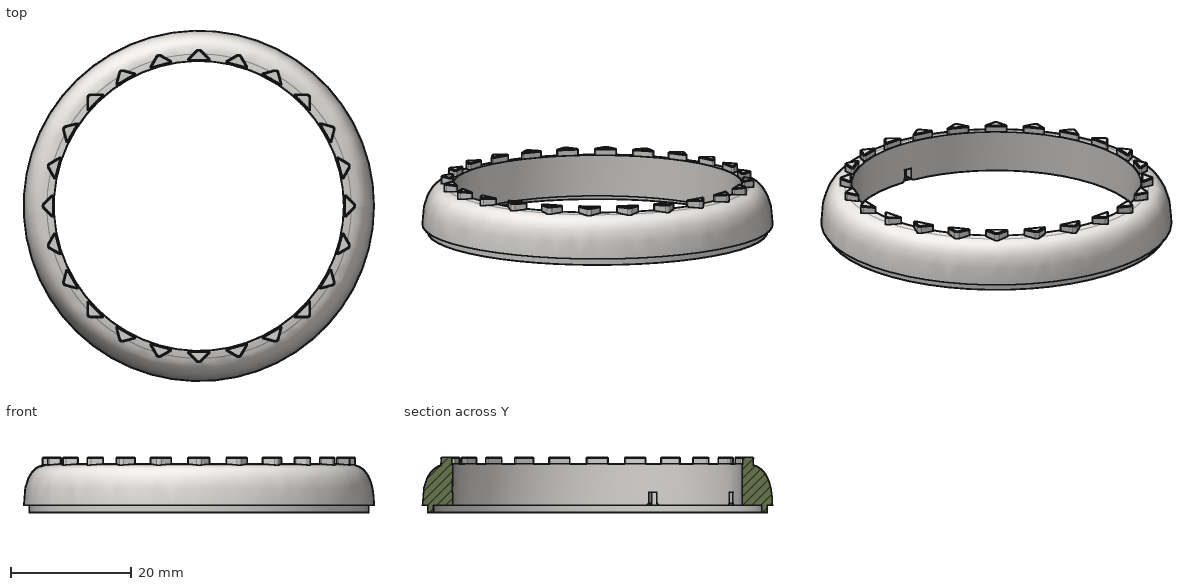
import cadquery as cq
import math

outer_radius = 29.1
bore_radius = 24.0
shoulder_height = 1.2
lip_outer_radius = 28.2
lip_wall = 1.0
rim_outer_radius = 25.25
rim_inner_height = 8.1
rim_outer_height = 7.95
dome_side_handle = (outer_radius, 5.25)
dome_top_handle = (27.8, 7.85)

tooth_count = 24
tooth_top = 9.2
tooth_root = 7.25
tooth_base_distance = 24.1
tooth_half_width = 2.1
tooth_tip_rounding = 0.6
tooth_end_rounding = 0.205
tooth_top_chamfer = 0.2

notch_angles = (22.5, 67.5)
notch_width = 1.4
notch_height = 2.15
notch_depth = 1.3
notch_mouth_chamfer = 0.35


def ring_body():
    rim_middle = (
        (bore_radius + rim_outer_radius) / 2,
        rim_inner_height - (rim_inner_height - rim_outer_height) / 4,
    )
    lip_inner_radius = lip_outer_radius - lip_wall
    profile = (
        cq.Workplane("XZ")
        .moveTo(lip_inner_radius, 0)
        .lineTo(lip_outer_radius, 0)
        .lineTo(lip_outer_radius, shoulder_height)
        .lineTo(outer_radius, shoulder_height)
        .bezier(
            [
                (outer_radius, shoulder_height),
                dome_side_handle,
                dome_top_handle,
                (rim_outer_radius, rim_outer_height),
            ]
        )
        .threePointArc(rim_middle, (bore_radius, rim_inner_height))
        .lineTo(bore_radius, shoulder_height)
        .lineTo(lip_inner_radius, shoulder_height)
        .close()
    )
    return profile.revolve(360, (0, 0, 0), (0, 1, 0))


def tooth():
    """Right-angled triangle pointing outward along +X, chamfered around its top."""
    tip_distance = tooth_base_distance + tooth_half_width
    return (
        cq.Workplane("XY")
        .workplane(offset=tooth_root)
        .moveTo(tooth_base_distance, -tooth_half_width)
        .lineTo(tip_distance, 0)
        .lineTo(tooth_base_distance, tooth_half_width)
        .close()
        .extrude(tooth_top - tooth_root)
        .edges("|Z and >X")
        .fillet(tooth_tip_rounding)
        .edges("|Z and (<Y or >Y)")
        .fillet(tooth_end_rounding)
        .faces(">Z")
        .chamfer(tooth_top_chamfer)
    )


def notch():
    """Cutter for a notch on the +X side, with a mouth that widens at the bottom."""
    half_width = notch_width / 2
    mouth_half_width = half_width + notch_mouth_chamfer
    mouth_top = shoulder_height + notch_mouth_chamfer
    notch_top = shoulder_height + notch_height
    start_radius = bore_radius - notch_width
    return (
        cq.Workplane("YZ")
        .workplane(offset=start_radius)
        .moveTo(-mouth_half_width, shoulder_height)
        .lineTo(mouth_half_width, shoulder_height)
        .lineTo(half_width, mouth_top)
        .lineTo(half_width, notch_top)
        .lineTo(-half_width, notch_top)
        .lineTo(-half_width, mouth_top)
        .close()
        .extrude(bore_radius + notch_depth - start_radius)
    )


def copies_around_axis(shape, angles):
    copies = [shape.rotate((0, 0, 0), (0, 0, 1), angle).val() for angle in angles]
    return cq.Workplane(cq.Compound.makeCompound(copies))


tooth_angles = [index * 360 / tooth_count for index in range(tooth_count)]

result = (
    ring_body()
    .union(copies_around_axis(tooth(), tooth_angles))
    .cut(copies_around_axis(notch(), notch_angles))
    .solids()
)